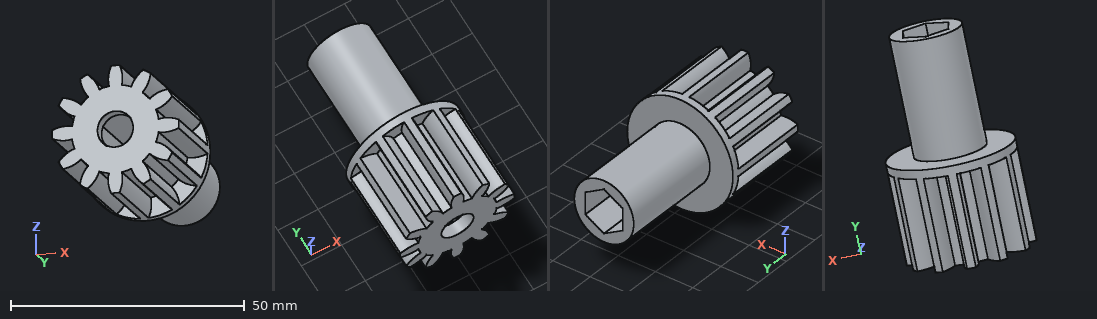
import cadquery as cq
import math

total_length = 50.0
gear_length = 23.0
flange_thickness = 2.0
tooth_length = gear_length - flange_thickness

outer_radius = 14.2
root_radius = 9.8
shaft_radius = 8.0

bore_radius = 4.0
bore_length = 3.0
hexagon_sides = 6
hexagon_across_flats = 10.0
hexagon_across_corners = hexagon_across_flats / math.cos(math.pi / hexagon_sides)

tooth_count = 12
pitch_angle = 360 / tooth_count
tip_half_width = 0.95
belly_half_width = 1.6
belly_radius = 11.5
root_half_width = 1.45
cutter_margin = 0.5


def section(start):
    """Workplane across the axis at Y = start; it faces -Y, so negative extrusions run toward +Y."""
    return cq.Workplane("XZ", origin=(0, start, 0))


def cylinder(radius, start, end):
    """Solid cylinder around the Y axis from Y = start to Y = end."""
    return section(start).circle(radius).extrude(start - end)


def flank_point(radius, half_width, side):
    """Point on the left (side = -1) or right (side = 1) flank of the gap centered on +Z."""
    polar_angle = math.radians(pitch_angle / 2) - math.asin(half_width / radius)
    return (side * radius * math.sin(polar_angle), radius * math.cos(polar_angle))


def make_gap_cutter():
    """Space between two teeth, centered on +Z, bounded by the bulging tooth flanks."""
    cutter_radius = outer_radius + cutter_margin
    return (
        section(0)
        .moveTo(*flank_point(cutter_radius, tip_half_width, -1))
        .lineTo(*flank_point(outer_radius, tip_half_width, -1))
        .threePointArc(
            flank_point(belly_radius, belly_half_width, -1),
            flank_point(root_radius, root_half_width, -1),
        )
        .threePointArc((0, root_radius), flank_point(root_radius, root_half_width, 1))
        .threePointArc(
            flank_point(belly_radius, belly_half_width, 1),
            flank_point(outer_radius, tip_half_width, 1),
        )
        .lineTo(*flank_point(cutter_radius, tip_half_width, 1))
        .threePointArc((0, cutter_radius), flank_point(cutter_radius, tip_half_width, -1))
        .close()
        .extrude(-tooth_length)
    )


def make_hexagon_socket():
    """Hexagonal prism with corners on +Z and -Z, from the bore to the shaft end."""
    return (
        section(bore_length)
        .transformed(rotate=(0, 0, 90))
        .polygon(hexagon_sides, hexagon_across_corners)
        .extrude(bore_length - total_length)
    )


gear_blank = cylinder(outer_radius, 0, gear_length)
shaft = cylinder(shaft_radius, gear_length, total_length)
body = gear_blank.union(shaft)

gap_cutter = make_gap_cutter()
for index in range(tooth_count):
    gap_angle = (index + 0.5) * pitch_angle
    body = body.cut(gap_cutter.rotate((0, 0, 0), (0, 1, 0), gap_angle))

body = body.cut(cylinder(bore_radius, 0, bore_length))
result = body.cut(make_hexagon_socket())